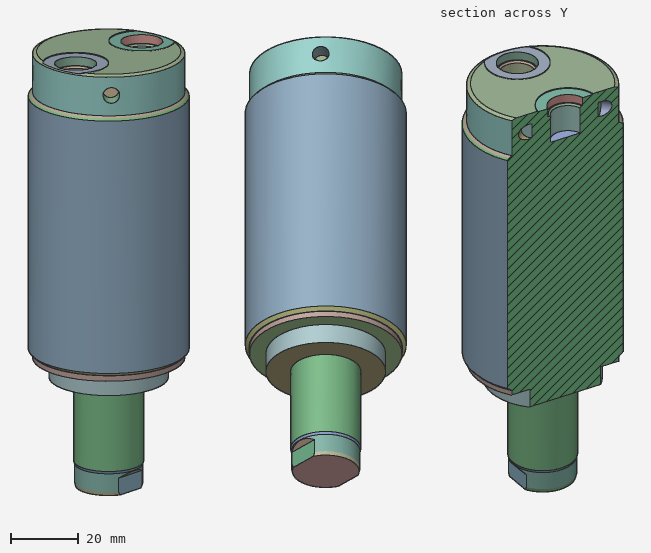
import cadquery as cq
import math

total_height = 134.8
flange_bottom = 33.7
body_bottom = 39.8
head_bottom = 122.2

body_diameter = 47.5
body_radius = body_diameter / 2
head_radius = 22.5
flange_radius = 17.7
rod_radius = 10.4
tip_radius = 10.1

head_chamfer_width = 1.2
head_chamfer_height = 0.5
body_chamfer = 1.1
body_chamfer_top = 42.6
shoulder_edge_radius = 23.3
shoulder_edge_height = 121.5
shoulder_bevel_height = 0.5
rod_step_top = 7.7
rod_step_bottom = 6.9
tip_chamfer_width = 0.3
tip_chamfer_height = 1.1

flat_offset = 8.8
flat_height = 5.4
cutter_margin = 1.3

port_offset = 14.3
spotface_radius = 9.7
spotface_depth = 0.3
counterbore_radius = 6.2
counterbore_depth = 2.7
port_radius = 5.3
port_chamfer = 0.5
port_depth = 12.1

spanner_count = 4
spanner_radius = 2.4
spanner_depth = 5.4
spanner_height = 128.5


def turned_body():
    """Revolve the half outline, listed as (radius, height) from the tip upward."""
    outline = [
        (0, 0),
        (tip_radius - tip_chamfer_width, 0),
        (tip_radius, tip_chamfer_height),
        (tip_radius, rod_step_bottom),
        (rod_radius, rod_step_top),
        (rod_radius, flange_bottom),
        (flange_radius, flange_bottom),
        (flange_radius, body_bottom),
        (head_radius, body_bottom),
        (head_radius, body_chamfer_top - body_chamfer),
        (body_radius - body_chamfer, body_chamfer_top - body_chamfer),
        (body_radius, body_chamfer_top),
        (body_radius, shoulder_edge_height - shoulder_bevel_height),
        (shoulder_edge_radius, shoulder_edge_height),
        (head_radius, head_bottom),
        (head_radius, total_height - head_chamfer_height),
        (head_radius - head_chamfer_width, total_height),
        (0, total_height),
    ]
    return cq.Workplane("XZ").polyline(outline).close().revolve(360, (0, 0), (0, 1))


def flat_cutter(side):
    """Wedge-topped block that leaves a flat and a 45 degree run-out on one side (+1 or -1)."""
    outer = rod_radius + cutter_margin
    runout = outer - flat_offset
    profile = [
        (side * flat_offset, 0),
        (side * outer, 0),
        (side * outer, flat_height + runout),
        (side * flat_offset, flat_height),
    ]
    return cq.Workplane("XZ").polyline(profile).close().extrude(rod_radius, both=True)


def port_cutter(y):
    """Shallow spotface and counterbore above a chamfered blind port."""
    seat = total_height - spotface_depth
    shoulder = seat - counterbore_depth
    outline = [
        (0, total_height - port_depth),
        (port_radius, total_height - port_depth),
        (port_radius, shoulder - port_chamfer),
        (port_radius + port_chamfer, shoulder),
        (counterbore_radius, shoulder),
        (counterbore_radius, seat),
        (spotface_radius, seat),
        (spotface_radius, total_height),
        (0, total_height),
    ]
    cutter = cq.Workplane("XZ").polyline(outline).close().revolve(360, (0, 0), (0, 1))
    return cutter.translate((0, y, 0))


def spanner_cutter(angle):
    """Radial blind hole into the head at the given angle in degrees."""
    turn = math.radians(angle)
    direction = cq.Vector(math.cos(turn), math.sin(turn), 0)
    start = direction * (head_radius - spanner_depth) + cq.Vector(0, 0, spanner_height)
    return cq.Solid.makeCylinder(spanner_radius, 2 * spanner_depth, start, direction)


result = turned_body()
for side in (-1, 1):
    result = result.cut(flat_cutter(side))
    result = result.cut(port_cutter(side * port_offset))
for index in range(spanner_count):
    result = result.cut(spanner_cutter((index + 0.5) * 360 / spanner_count))